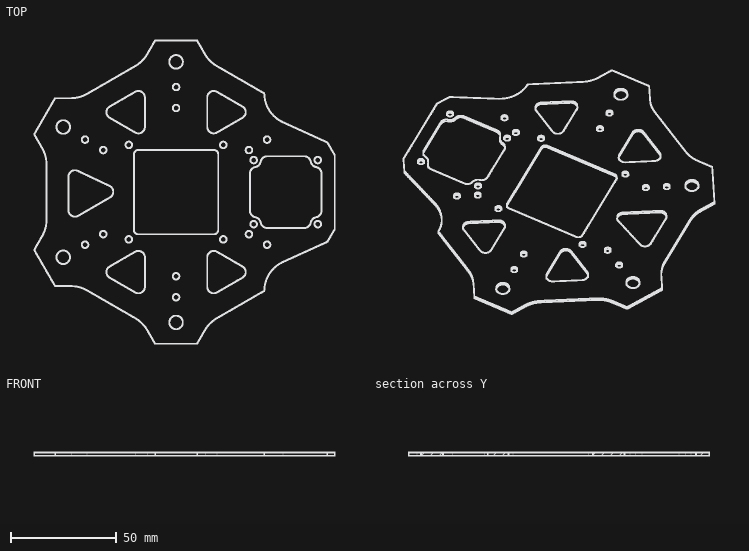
import cadquery as cq
import math

THICKNESS = 1.6
CUT_HEIGHT = 2 * THICKNESS

ARM_SPACING = 60
ARM_ANGLES = (90, 150, 210, 270)
ARM_REACH = 72.3
ARM_END_HALF_WIDTH = 10.0
ARM_FLARE = 30
FLAT_DISTANCE = 61.8
NECK_RADIUS = 15.0

SHOULDER_X = 42.1
SHOULDER_RADIUS = 15.0
TAIL_SLOPE = 25
TAIL_CORNER = (72.0, 23.7)
TAIL_END_X = 75.6
TAIL_END_HALF_WIDTH = 17.6

MOTOR_HOLE_DIAMETER = 6.4
MOTOR_HOLE_DISTANCE = 62.0
SMALL_HOLE_DIAMETER = 3.0
BOLT_HOLE_DISTANCES = (40.0, 50.0)
BOLT_HOLE_ANGLES = (30, 90, 150, 210, 270, 330)
CENTER_HOLE_PITCH = 45.0
TAIL_HOLE_PITCH = 30.5

CENTER_WINDOW_SIDE = 40.0
CENTER_WINDOW_RADIUS = 2.0
TAIL_CENTER_X = 52.2
TAIL_WINDOW_SIDE = 34.0
TAIL_LUG_RADIUS = 3.5
TAIL_WINDOW_RADIUS = 3.0

TRIANGLE_RADIUS = 3.0
TRIANGLE_ANGLES = (60, 120, 240, 300)
TRIANGLE_DISTANCE = 44.0
TRIANGLE_INRADIUS = 7.1
NOSE_TRIANGLE_BASE_X = -51.2
NOSE_TRIANGLE_LEFT_Y = 12.1
NOSE_TRIANGLE_RIGHT_Y = -13.9
NOSE_TRIANGLE_APEX = (-26.5, 0.5)


def polar(distance, angle, sideways=0):
    """Point at a distance along a direction, shifted sideways to its left."""
    a = math.radians(angle)
    return (
        distance * math.cos(a) - sideways * math.sin(a),
        distance * math.sin(a) + sideways * math.cos(a),
    )


def square_corners(pitch, center_x=0):
    half = pitch / 2
    return [(center_x + sx * half, sy * half) for sx in (-1, 1) for sy in (-1, 1)]


def cutter_plane():
    return cq.Workplane("XY").workplane(offset=-CUT_HEIGHT / 2)


def polygon_cutter(points, radius):
    return cutter_plane().polyline(points).close().extrude(CUT_HEIGHT).edges("|Z").fillet(radius)


flare = math.radians(ARM_FLARE)
half_spacing = math.radians(ARM_SPACING / 2)
flare_origin = ARM_END_HALF_WIDTH + ARM_REACH * math.tan(flare)
neck_distance = (FLAT_DISTANCE - flare_origin * math.sin(half_spacing)) / (
    math.cos(half_spacing) - math.tan(flare) * math.sin(half_spacing)
)
neck_half_width = flare_origin - neck_distance * math.tan(flare)


def arm_points(angle):
    return [
        polar(neck_distance, angle, -neck_half_width),
        polar(ARM_REACH, angle, -ARM_END_HALF_WIDTH),
        polar(ARM_REACH, angle, ARM_END_HALF_WIDTH),
        polar(neck_distance, angle, neck_half_width),
    ]


def shoulder_arc():
    """Start, middle and end of the concave arc on the +Y side, which starts parallel to Y."""
    start_y = (FLAT_DISTANCE - SHOULDER_X * math.sin(half_spacing)) / math.cos(half_spacing)
    center_x = SHOULDER_X + SHOULDER_RADIUS
    turn = 90 - TAIL_SLOPE
    points = []
    for angle in (180, 180 + turn / 2, 180 + turn):
        dx, dy = polar(SHOULDER_RADIUS, angle)
        points.append((center_x + dx, start_y + dy))
    return points


def plate():
    start, middle, end = shoulder_arc()
    arms = [point for angle in ARM_ANGLES for point in arm_points(angle)]
    outline = (
        cq.Workplane("XY")
        .moveTo(TAIL_END_X, -TAIL_END_HALF_WIDTH)
        .lineTo(TAIL_END_X, TAIL_END_HALF_WIDTH)
        .lineTo(*TAIL_CORNER)
        .lineTo(*end)
        .threePointArc(middle, start)
    )
    for point in arms:
        outline = outline.lineTo(*point)
    body = (
        outline.lineTo(start[0], -start[1])
        .threePointArc((middle[0], -middle[1]), (end[0], -end[1]))
        .lineTo(TAIL_CORNER[0], -TAIL_CORNER[1])
        .close()
        .extrude(THICKNESS / 2, both=True)
    )
    for angle in ARM_ANGLES:
        for side in (-1, 1):
            x, y = polar(neck_distance, angle, side * neck_half_width)
            neck = cq.NearestToPointSelector((x, y, 0))
            body = body.edges("|Z").edges(neck).fillet(NECK_RADIUS)
    return body


def round_holes(points, diameter):
    return cutter_plane().pushPoints(points).circle(diameter / 2).extrude(CUT_HEIGHT)


def center_window():
    side = CENTER_WINDOW_SIDE
    return cutter_plane().rect(side, side).extrude(CUT_HEIGHT).edges("|Z").fillet(CENTER_WINDOW_RADIUS)


def tail_window():
    side = TAIL_WINDOW_SIDE
    opening = cutter_plane().center(TAIL_CENTER_X, 0).rect(side, side).extrude(CUT_HEIGHT)
    lugs = round_holes(square_corners(TAIL_HOLE_PITCH, TAIL_CENTER_X), 2 * TAIL_LUG_RADIUS)
    return opening.cut(lugs).edges("|Z").fillet(TAIL_WINDOW_RADIUS)


def arm_triangle(angle):
    """Equilateral window with one corner pointing away from the Y axis."""
    center_x, center_y = polar(TRIANGLE_DISTANCE, angle)
    first_corner = 0 if center_x > 0 else 180
    corners = []
    for turn in (0, 120, 240):
        dx, dy = polar(2 * TRIANGLE_INRADIUS, first_corner + turn)
        corners.append((center_x + dx, center_y + dy))
    return polygon_cutter(corners, TRIANGLE_RADIUS)


def nose_triangle():
    """Slightly lopsided window between the two -X arms."""
    corners = [
        (NOSE_TRIANGLE_BASE_X, NOSE_TRIANGLE_RIGHT_Y),
        NOSE_TRIANGLE_APEX,
        (NOSE_TRIANGLE_BASE_X, NOSE_TRIANGLE_LEFT_Y),
    ]
    return polygon_cutter(corners, TRIANGLE_RADIUS)


motor_holes = [polar(MOTOR_HOLE_DISTANCE, angle) for angle in ARM_ANGLES]
small_holes = [polar(d, angle) for d in BOLT_HOLE_DISTANCES for angle in BOLT_HOLE_ANGLES]
small_holes += square_corners(CENTER_HOLE_PITCH)
small_holes += square_corners(TAIL_HOLE_PITCH, TAIL_CENTER_X)

result = (
    plate()
    .cut(center_window())
    .cut(tail_window())
    .cut(nose_triangle())
    .cut(round_holes(motor_holes, MOTOR_HOLE_DIAMETER))
    .cut(round_holes(small_holes, SMALL_HOLE_DIAMETER))
)
for triangle_angle in TRIANGLE_ANGLES:
    result = result.cut(arm_triangle(triangle_angle))